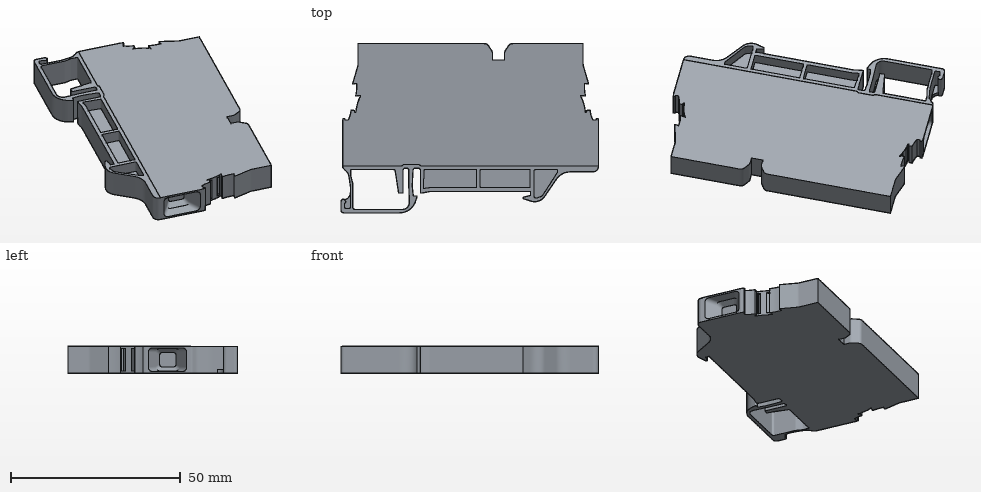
import cadquery as cq
import math

LENGTH = 76.05
HEIGHT = 50.0
THICKNESS = 8.1

BODY_LEFT = 0.5
BODY_BOTTOM = 13.9
BODY_MIDDLE = (BODY_LEFT + LENGTH) / 2

FOOT_STEP = 0.1
FOOT_TOP = THICKNESS - FOOT_STEP
RIB_UNDERSIDE = 12.8
RAIL_FACE = 6.3
RAIL_WALL = 1.2

HUMP = [
    (23.6, BODY_BOTTOM, 0),
    (23.0, 14.35, 0.4),
    (18.6, 14.35, 0.4),
    (18.0, BODY_BOTTOM, 0),
]

NOTCH_MIDDLE = 46.5
NOTCH_BOTTOM = 45.2
NOTCH_HALF_WIDTH = 1.73
NOTCH_MOUTH_HALF_WIDTH = 3.35

POCKET_DEPTH = 3.5
POCKET_CORNER = 0.2
WEB_THICKNESS = 1.2

MOUTH_BOTTOM = 15.0
MOUTH_TOP = 26.3
MOUTH_HEIGHT = 7.0
MOUTH_CORNER = 1.3
NECK_DEPTH = 3.3
NECK_HEIGHT = 6.6
NECK_CORNER = 1.2
FLOOR_DEPTH = 5.0
FLOOR_BOTTOM = 18.15
FLOOR_TOP = 22.95
FLOOR_HEIGHT = 4.2
FLOOR_CORNER = 0.7

GROOVE_MARGIN = 0.7
GROOVE_OPENING = 4.0


def rounded_outline(corners):
    """Closed wire through (x, y, radius) corners; a radius of 0 keeps the corner sharp."""
    rounds = []
    for i, (x, y, radius) in enumerate(corners):
        before = corners[i - 1]
        after = corners[(i + 1) % len(corners)]
        point = cq.Vector(x, y)
        to_before = (cq.Vector(before[0], before[1]) - point).normalized()
        to_after = (cq.Vector(after[0], after[1]) - point).normalized()
        if radius == 0:
            rounds.append((point, point, point))
            continue
        half_angle = to_before.getAngle(to_after) / 2
        setback = radius / math.tan(half_angle)
        gap = radius / math.sin(half_angle) - radius
        middle = point + (to_before + to_after).normalized() * gap
        rounds.append((point + to_before * setback, middle, point + to_after * setback))

    edges = []
    for i, (start, middle, end) in enumerate(rounds):
        if start != end:
            edges.append(cq.Edge.makeThreePointArc(start, middle, end))
        next_start = rounds[(i + 1) % len(rounds)][0]
        edges.append(cq.Edge.makeLine(end, next_start))
    return cq.Wire.assembleEdges(edges)


def plate(corners, bottom, top):
    """Flat plate with the given rounded outline between two Z levels."""
    face = cq.Face.makeFromWires(rounded_outline(corners))
    solid = cq.Solid.extrudeLinear(face, cq.Vector(0, 0, top - bottom))
    return cq.Workplane(solid.translate(cq.Vector(0, 0, bottom)))


def mirrored(corners, axis):
    """The same corners reflected about the line X = axis, in reverse order."""
    return [(2 * axis - x, y, radius) for x, y, radius in reversed(corners)]


def body():
    end_profile = [
        (BODY_LEFT, BODY_BOTTOM, 0),
        (BODY_LEFT, 27.05, 0),
        (0.65, 27.9, 0),
        (1.15, 27.9, 0),
        (1.3, 27.45, 0),
        (2.15, 27.45, 0),
        (2.75, 28.6, 7.0),
        (3.0, 30.35, 0),
        (4.0, 30.3, 0),
        (4.2, 29.65, 0),
        (4.4, 29.65, 0),
        (4.65, 32.3, 13.0),
        (5.85, 34.65, 0),
        (4.35, 34.45, 0),
        (4.65, 36.0, 11.0),
        (4.65, 38.2, 0),
        (3.4, 37.95, 0.15),
        (5.05, 43.6, 2.0),
        (5.05, HEIGHT, 0),
    ]
    notch_side = [
        (NOTCH_MIDDLE - NOTCH_MOUTH_HALF_WIDTH, HEIGHT, 1.5),
        (NOTCH_MIDDLE - NOTCH_HALF_WIDTH, 47.5, 1.5),
        (NOTCH_MIDDLE - NOTCH_HALF_WIDTH, NOTCH_BOTTOM, 0),
    ]
    near_half = end_profile + notch_side
    far_half = mirrored(notch_side, NOTCH_MIDDLE) + mirrored(end_profile, BODY_MIDDLE)
    return plate(near_half + far_half, 0, THICKNESS)


def foot():
    snap_hook = [
        (BODY_LEFT, BODY_BOTTOM, 0),
        (BODY_LEFT, 13.4, 1.0),
        (2.2, 11.7, 2.6),
        (2.8, 7.95, 8.0),
        (2.8, 1.3, 0.4),
        (1.15, 1.3, 0.4),
        (1.15, 2.9, 0.5),
        (1.6, 3.3, 0.3),
        (0.7, 4.3, 0.4),
        (0, 3.7, 1.1),
        (0, 0, 0.95),
    ]
    spring_leg = [
        (20.9, 0, 5.0),
        (22.6, 5.05, 0.2),
        (21.4, 5.05, 0),
        (21.1, 8.0, 3.0),
        (21.35, 13.2, 0.6),
        (23.45, 13.2, 0.6),
    ]
    rail_seat = [
        (23.45, 5.9, 0),
        (24.1, 5.9, 0),
        (26.3, RAIL_FACE, 0),
        (55.9, RAIL_FACE, 0),
    ]
    fixed_hook = [
        (55.9, 5.2, 0),
        (53.8, 4.7, 0.2),
        (53.8, 4.2, 0.2),
        (58.6, 2.65, 3.6),
        (65.08, 12.1, 4.8),
        (LENGTH, 12.1, 1.75),
        (LENGTH, BODY_BOTTOM, 0),
    ]
    return plate(snap_hook + spring_leg + rail_seat + fixed_hook + HUMP, 0, FOOT_TOP)


def rail_window():
    """Opening inside the snap foot, with the stop finger hanging into it."""
    return plate(
        [
            (3.0, RIB_UNDERSIDE, 0.1),
            (15.95, RIB_UNDERSIDE, 0.5),
            (17.0, 5.9, 0.1),
            (18.4, 5.9, 0.1),
            (18.4, 13.2, 0.5),
            (20.0, 13.2, 0.5),
            (20.0, 8.3, 0),
            (20.25, 1.1, 2.0),
            (3.55, 1.1, 0.6),
            (3.55, 8.7, 1.0),
            (3.0, 10.8, 0.5),
        ],
        0,
        THICKNESS,
    )


def hook_web():
    """Thin floor closing the slit behind the snap hook."""
    return plate(
        [
            (0.8, 0.8, 0),
            (3.0, 0.8, 0),
            (3.0, 5.9, 0),
            (2.75, 5.9, 0),
            (2.6, 4.6, 2.0),
            (1.2, 3.9, 0),
            (0.8, 3.8, 0),
        ],
        0,
        WEB_THICKNESS,
    )


def foot_pockets():
    near = [
        (24.6, RIB_UNDERSIDE, POCKET_CORNER),
        (40.05, RIB_UNDERSIDE, POCKET_CORNER),
        (40.05, RAIL_FACE + RAIL_WALL, POCKET_CORNER),
        (26.3, RAIL_FACE + RAIL_WALL, 0),
        (24.3, 7.2, POCKET_CORNER),
    ]
    middle = [
        (41.1, RIB_UNDERSIDE, POCKET_CORNER),
        (55.85, RIB_UNDERSIDE, POCKET_CORNER),
        (55.85, RAIL_FACE + RAIL_WALL, POCKET_CORNER),
        (41.1, RAIL_FACE + RAIL_WALL, POCKET_CORNER),
    ]
    hook = [
        (57.0, RIB_UNDERSIDE, 0.4),
        (63.9, RIB_UNDERSIDE, POCKET_CORNER),
        (63.9, 12.0, 0.4),
        (59.4, 5.0, 1.5),
        (57.0, 4.1, 0.6),
    ]
    floor = FOOT_TOP - POCKET_DEPTH
    pockets = plate(near, floor, THICKNESS)
    for outline in (middle, hook):
        pockets = pockets.union(plate(outline, floor, THICKNESS))
    return pockets


def entry_section(depth, bottom, top, height, corner):
    """Rounded rectangular section of the wire entry, centred in the thickness."""
    sketch = cq.Sketch().rect(top - bottom, height).vertices().fillet(corner)
    return sketch.moved(cq.Location(cq.Vector((bottom + top) / 2, THICKNESS / 2, depth)))


def wire_entry():
    neck_fraction = NECK_DEPTH / FLOOR_DEPTH
    neck_bottom = MOUTH_BOTTOM + neck_fraction * (FLOOR_BOTTOM - MOUTH_BOTTOM)
    neck_top = MOUTH_TOP + neck_fraction * (FLOOR_TOP - MOUTH_TOP)
    mouth = entry_section(0, MOUTH_BOTTOM, MOUTH_TOP, MOUTH_HEIGHT, MOUTH_CORNER)
    neck = entry_section(NECK_DEPTH, neck_bottom, neck_top, NECK_HEIGHT, NECK_CORNER)
    floor = entry_section(FLOOR_DEPTH, FLOOR_BOTTOM, FLOOR_TOP, FLOOR_HEIGHT, FLOOR_CORNER)
    end_face = cq.Workplane("YZ", origin=(BODY_LEFT, 0, 0))
    outer_stage = end_face.placeSketch(mouth, neck).loft()
    inner_stage = end_face.placeSketch(neck, floor).loft()
    return outer_stage.union(inner_stage)


def end_grooves():
    lower_groove = [
        (GROOVE_OPENING, 30.4, 0),
        (5.1, 30.4, 0),
        (5.1, 30.85, 0),
        (4.65, 31.3, 0),
        (GROOVE_OPENING, 31.3, 0),
    ]
    upper_groove = [
        (GROOVE_OPENING, 32.9, 0),
        (4.95, 32.9, 0),
        (6.1, 33.6, 0),
        (6.1, 34.2, 0),
        (GROOVE_OPENING, 34.2, 0),
    ]
    bottom = GROOVE_MARGIN
    top = THICKNESS - GROOVE_MARGIN
    return plate(lower_groove, bottom, top).union(plate(upper_groove, bottom, top))


end_cuts = wire_entry().union(end_grooves())
opposite_end_cuts = end_cuts.mirror("YZ", (BODY_MIDDLE, 0, 0))

result = body().cut(plate(HUMP, FOOT_TOP, THICKNESS)).union(foot())
result = result.cut(rail_window()).cut(foot_pockets()).union(hook_web())
result = result.cut(end_cuts).cut(opposite_end_cuts)